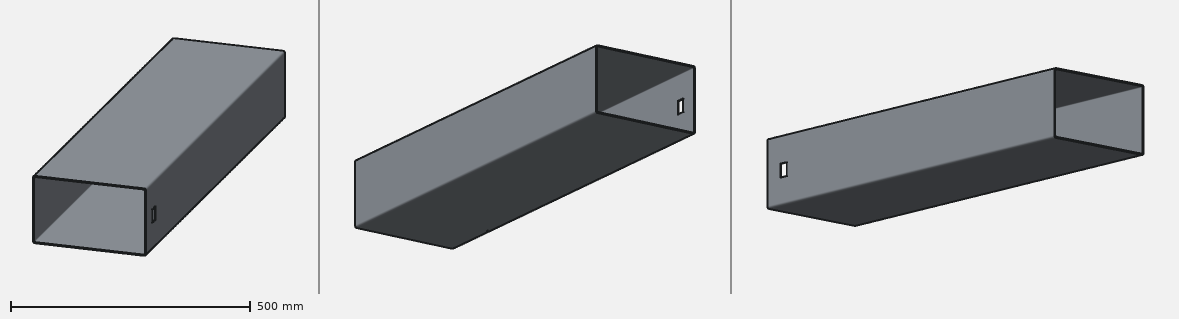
import cadquery as cq

length = 900.0
width = 250.0
height = 150.0
wall = 3.2
outer_radius = 5.0
inner_radius = outer_radius - wall

hole_width = 20.0
hole_height = 30.0
hole_from_end = 50.0


def rounded_bar(bar_width, bar_height, radius):
    """Full-length bar centred on the origin, with its lengthwise edges rounded."""
    return cq.Workplane("XY").box(bar_width, length, bar_height).edges("|Y").fillet(radius)


def make_tube():
    outside = rounded_bar(width, height, outer_radius)
    inside = rounded_bar(width - 2 * wall, height - 2 * wall, inner_radius)
    return outside.cut(inside)


def wall_hole():
    """Cutter that passes through the +X wall only."""
    return (
        cq.Workplane("YZ", origin=(width / 2 - 2 * wall, 0, 0))
        .center(-length / 2 + hole_from_end, 0)
        .rect(hole_width, hole_height)
        .extrude(3 * wall)
    )


result = make_tube().cut(wall_hole())